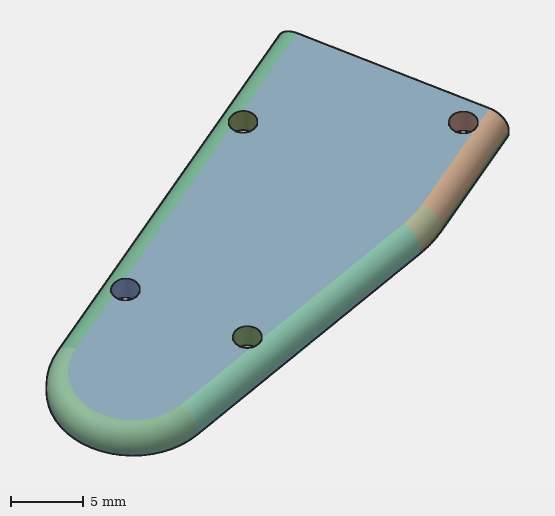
import cadquery as cq
import math

width = 18.0
thickness = 2.0
edge_radius = 1.5

tip_radius = 6.0
tip_center = (tip_radius, -33.0)

corner_radius = 10.0
corner_center = (width - corner_radius, -10.0)

hole_diameter = 2.0
hole_centers = [
    (15.5, -2.0),
    (2.0, -9.0),
    (2.0, -26.5),
    (11.5, -26.5),
]


def slant_angle():
    """Angle below +X of the normal to the line tangent to both the tip and the corner."""
    dx = corner_center[0] - tip_center[0]
    dy = corner_center[1] - tip_center[1]
    return math.atan2(dx, dy) + math.asin((corner_radius - tip_radius) / math.hypot(dx, dy))


def point_on_circle(center, radius, angle):
    """Point on a circle, with the angle measured counterclockwise from +X."""
    return (center[0] + radius * math.cos(angle), center[1] + radius * math.sin(angle))


def make_plate():
    """Tapered plate: straight back edge at Y = 0, round tip toward -Y."""
    slant = slant_angle()
    tip_middle_angle = -(math.pi + slant) / 2
    return (
        cq.Workplane("XY")
        .moveTo(0, 0)
        .lineTo(width, 0)
        .lineTo(width, corner_center[1])
        .threePointArc(
            point_on_circle(corner_center, corner_radius, -slant / 2),
            point_on_circle(corner_center, corner_radius, -slant),
        )
        .lineTo(*point_on_circle(tip_center, tip_radius, -slant))
        .threePointArc(
            point_on_circle(tip_center, tip_radius, tip_middle_angle),
            (0, tip_center[1]),
        )
        .close()
        .extrude(thickness)
    )


def round_top_edges(plate):
    """Round the whole top rim except along the flat back face."""
    top_rim = plate.faces(">Z").edges()
    back_edge = plate.faces(">Z").edges(">Y")
    return plate.newObject(
        [edge for edge in top_rim.vals() if not edge.isSame(back_edge.val())]
    ).fillet(edge_radius)


def drill_holes(plate):
    """Drill the holes straight through the plate."""
    drills = cq.Workplane("XY").pushPoints(hole_centers).circle(hole_diameter / 2).extrude(thickness)
    return plate.cut(drills)


result = drill_holes(round_top_edges(make_plate()))